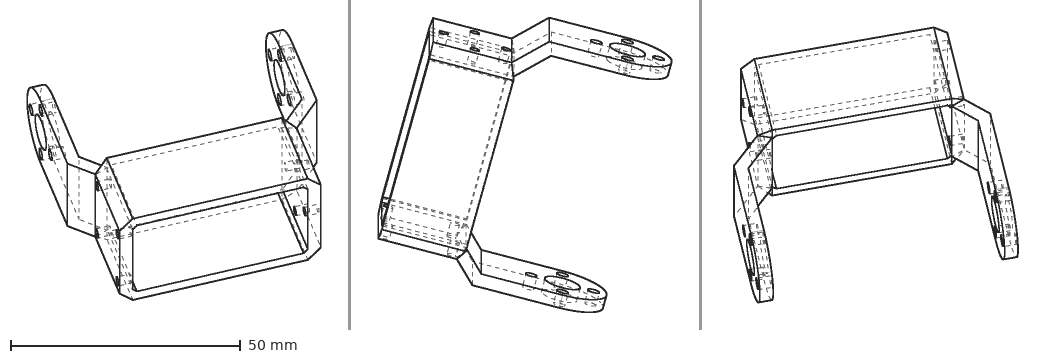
import cadquery as cq
import math

span = 57.4
frame_height = 26.0
back_x = 42.0
arm_height = 20.0
arm_radius = arm_height / 2
wall = 3.0

frame_center_y = -0.9
frame_length = 18.95
plate = 2.45
corner_bevel = (frame_height - arm_height) / 2
inner_bevel = 1.0
inner_half_width = 20.0
outer_half_width = inner_half_width + wall
plate_front_x = back_x - frame_length
miter = wall * math.tan(math.radians(22.5))
wall_front_x = plate_front_x + miter

pivot_diameter = 8.0
horn_hole_diameter = 2.5
horn_hole_radius = 7.0
square_hole_diameter = 2.0
square_pitch = 15.0
square_center_x = back_x - 8.95
diamond_hole_diameter = 1.95
diamond_radius = 7.0
diamond_center_x = back_x - 9.4


def bevelled_prism(half_width, height, bevel):
    """Bar along X with 45 degree bevels on its long edges."""
    return (
        cq.Workplane("YZ")
        .rect(2 * half_width, height)
        .extrude(back_x)
        .edges("|X")
        .chamfer(bevel)
    )


def make_frame():
    """Hollow frame whose front corners are trimmed to the miter of the arm bends."""
    outer = bevelled_prism(outer_half_width, frame_height, corner_bevel)
    inner = bevelled_prism(inner_half_width, frame_height - 2 * plate, inner_bevel)
    footprint = (
        cq.Workplane("XY")
        .moveTo(back_x, outer_half_width)
        .lineTo(wall_front_x, outer_half_width)
        .lineTo(plate_front_x, inner_half_width)
        .lineTo(plate_front_x, -inner_half_width)
        .lineTo(wall_front_x, -outer_half_width)
        .lineTo(back_x, -outer_half_width)
        .close()
        .extrude(frame_height / 2, both=True)
    )
    return outer.cut(inner).intersect(footprint).translate((0, frame_center_y, 0))


def make_arm(side):
    """Arm on the +Y (side = 1) or -Y (side = -1) end, bent 45 degrees into the side wall."""
    arm_outer = span / 2
    arm_inner = arm_outer - wall
    wall_outer = outer_half_width + side * frame_center_y
    wall_inner = wall_outer - wall
    step = arm_outer - wall_outer
    points = [
        (-arm_radius, arm_outer),
        (wall_front_x - step, arm_outer),
        (wall_front_x, wall_outer),
        (back_x, wall_outer),
        (back_x, wall_inner),
        (plate_front_x, wall_inner),
        (plate_front_x - step, arm_inner),
        (-arm_radius, arm_inner),
    ]
    strip = (
        cq.Workplane("XY")
        .polyline([(x, side * y) for x, y in points])
        .close()
        .extrude(arm_height / 2, both=True)
    )
    silhouette = (
        cq.Workplane("XZ")
        .moveTo(0, arm_radius)
        .threePointArc((-arm_radius, 0), (0, -arm_radius))
        .lineTo(back_x, -arm_radius)
        .lineTo(back_x, arm_radius)
        .close()
        .extrude(span / 2, both=True)
    )
    return strip.intersect(silhouette)


def diamond_points(center_x, radius):
    return [(center_x - radius, 0), (center_x + radius, 0), (center_x, radius), (center_x, -radius)]


def hole_cutters(points, diameter):
    """Cylinders along Y, running from the middle of the part past its -Y side."""
    return cq.Workplane("XZ").pushPoints(points).circle(diameter / 2).extrude(span)


result = make_frame().union(make_arm(1)).union(make_arm(-1))

arm_holes = hole_cutters([(0, 0)], pivot_diameter).union(
    hole_cutters(diamond_points(0, horn_hole_radius), horn_hole_diameter)
)
result = result.cut(arm_holes).cut(arm_holes.mirror("XZ"))

half_pitch = square_pitch / 2
square_points = [
    (square_center_x + i * half_pitch, k * half_pitch) for i in (-1, 1) for k in (-1, 1)
]
result = result.cut(hole_cutters(square_points, square_hole_diameter))

diamond_holes = hole_cutters(diamond_points(diamond_center_x, diamond_radius), diamond_hole_diameter)
result = result.cut(diamond_holes.mirror("XZ"))